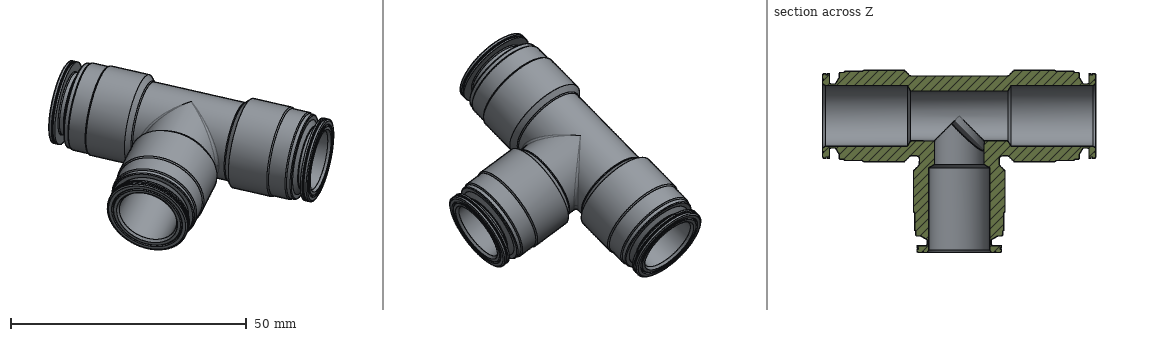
import cadquery as cq

ARM_LENGTH = 29.0

TRUNK_DIA = 17.0
SHOULDER_DIA = 17.25
BODY_DIA = 19.5
SLEEVE_DIA = 19.0
CAP_DIA = 18.5
CAP_FACE_DIA = 16.3
NECK_DIA = 13.65
NECK_ROOT_DIA = 13.85
FLANGE_DIA = 18.0
FLANGE_GROOVE_DIA = 17.5
FLANGE_FACE_DIA = 17.3

FLANGE_GROOVE_START = 0.7
FLANGE_GROOVE_END = 1.1
FLANGE_GROOVE_BEVEL = 0.12
FLANGE_END = 1.5
NECK_START = 1.8
NECK_END = 2.65
CAP_CONE_START = 2.8
CAP_START = 3.5
CAP_END = 4.5
SLEEVE_START = 4.75
SLEEVE_END = 8.45
BODY_START = 8.75
BODY_END = 17.35
SHOULDER_START = 18.45
TRUNK_START = 18.75

EDGE_CHAMFER = 0.2
CROTCH_RADIUS = 0.6

BORE_DIA = 10.5
SOCKET_DIA = 12.85
MOUTH_CHAMFER_DIA = 13.65
MOUTH_CHAMFER_DEPTH = 0.6
STOP_START = 18.0
STOP_END = 18.7

FACE_GROOVE_INNER_DIA = 15.0
FACE_GROOVE_OUTER_DIA = 15.9
FACE_GROOVE_DEPTH = 0.2

WEB_THICKNESS = 0.1
WEB_OFFSET = 1.4
WEB_LENGTH = 10.0
WEB_TURN = 45.0
WEB_LEAN = 10.3


def revolve_arm(points):
    """Revolve (radius, depth from mouth) points into an arm along +Z."""
    profile = [(radius, ARM_LENGTH - depth) for radius, depth in points]
    return cq.Workplane("XZ").polyline(profile).close().revolve(360, (0, 0, 0), (0, 1, 0))


ARM_TURNS = (0, 180, 90)


def arm_copies(shape):
    """Copies of a +Z shape turned onto the -X, +X and -Y arms."""
    left = shape.rotate((0, 0, 0), (0, 1, 0), -90)
    return [left.rotate((0, 0, 0), (0, 0, 1), turn) for turn in ARM_TURNS]


def make_trunk():
    """Plain tee of equal cylinders with a small blend in its crotch."""
    radius = TRUNK_DIA / 2
    reach = ARM_LENGTH - TRUNK_START
    run = cq.Workplane("YZ").circle(radius).extrude(reach, both=True)
    branch = cq.Workplane("XZ").circle(radius).extrude(reach)
    tee = run.union(branch)
    crotch_edges = [edge for edge in tee.edges().vals() if edge.geomType() == "ELLIPSE"]
    return cq.Workplane(tee.val().fillet(CROTCH_RADIUS, crotch_edges))


def make_arm():
    """Outside of one arm, from the trunk to the mouth."""
    points = [
        (0, 0),
        (FLANGE_FACE_DIA / 2, 0),
        (FLANGE_DIA / 2, EDGE_CHAMFER),
        (FLANGE_DIA / 2, FLANGE_GROOVE_START),
        (FLANGE_GROOVE_DIA / 2, FLANGE_GROOVE_START + FLANGE_GROOVE_BEVEL),
        (FLANGE_GROOVE_DIA / 2, FLANGE_GROOVE_END - FLANGE_GROOVE_BEVEL),
        (FLANGE_DIA / 2, FLANGE_GROOVE_END),
        (FLANGE_DIA / 2, FLANGE_END),
        (NECK_ROOT_DIA / 2, FLANGE_END),
        (NECK_DIA / 2, NECK_START),
        (NECK_DIA / 2, NECK_END),
        (NECK_ROOT_DIA / 2, CAP_CONE_START),
        (CAP_FACE_DIA / 2, CAP_START),
        (CAP_DIA / 2 - EDGE_CHAMFER, CAP_START),
        (CAP_DIA / 2, CAP_START + EDGE_CHAMFER),
        (CAP_DIA / 2, CAP_END),
        (SLEEVE_DIA / 2, SLEEVE_START),
        (SLEEVE_DIA / 2, SLEEVE_END),
        (BODY_DIA / 2, BODY_START),
        (BODY_DIA / 2, BODY_END),
        (SHOULDER_DIA / 2, SHOULDER_START),
        (TRUNK_DIA / 2, TRUNK_START),
        (0, TRUNK_START),
    ]
    return revolve_arm(points)


def make_bore():
    """Chamfered tube socket of one arm, its tapered stop and the narrower bore behind it."""
    points = [
        (0, 0),
        (MOUTH_CHAMFER_DIA / 2, 0),
        (SOCKET_DIA / 2, MOUTH_CHAMFER_DEPTH),
        (SOCKET_DIA / 2, STOP_START),
        (BORE_DIA / 2, STOP_END),
        (BORE_DIA / 2, ARM_LENGTH),
        (0, ARM_LENGTH),
    ]
    return revolve_arm(points)


def make_face_groove():
    """V-shaped ring groove in one mouth face."""
    middle_radius = (FACE_GROOVE_INNER_DIA + FACE_GROOVE_OUTER_DIA) / 4
    points = [
        (FACE_GROOVE_INNER_DIA / 2, 0),
        (FACE_GROOVE_OUTER_DIA / 2, 0),
        (middle_radius, FACE_GROOVE_DEPTH),
    ]
    return revolve_arm(points)


def make_web():
    """Leaning web, from the plane x = y out past the bore wall on the (+X, -Y) side."""
    return (
        cq.Workplane("XY")
        .box(WEB_LENGTH, WEB_THICKNESS, TRUNK_DIA, centered=(False, True, True))
        .rotate((0, 0, 0), (1, 0, 0), -WEB_LEAN)
        .translate((0, -WEB_OFFSET, 0))
        .rotate((0, 0, 0), (0, 0, 1), -WEB_TURN)
    )


outside = make_trunk()
for arm in arm_copies(make_arm()):
    outside = outside.union(arm)
hollow = outside
for tool in arm_copies(make_bore()):
    hollow = hollow.cut(tool)
for tool in arm_copies(make_face_groove()):
    hollow = hollow.cut(tool)
result = hollow.union(make_web().intersect(outside))